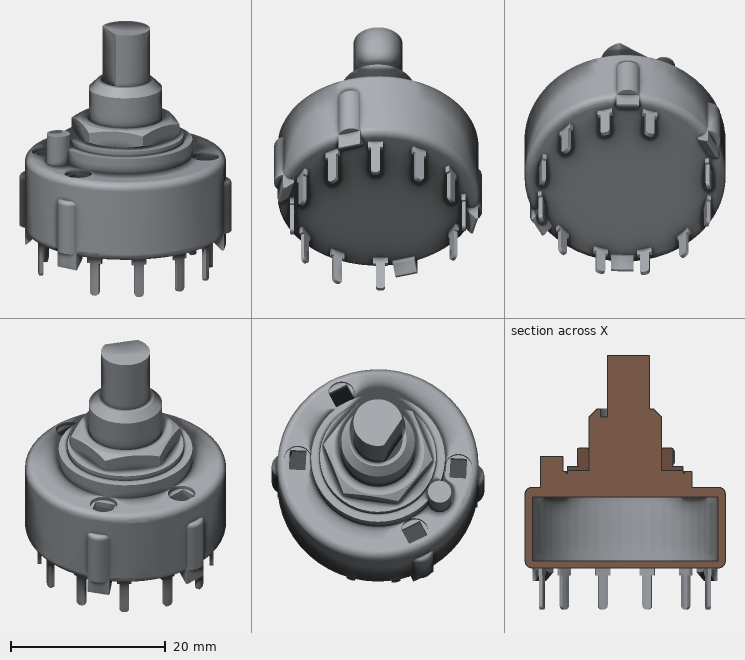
import cadquery as cq
import math


case_radius = 13.0
case_height = 10.5
case_edge_radius = 1.0
case_wall = 1.0
cavity_radius = case_radius - case_wall

seat_radius = 8.65
seat_top = case_height + 2.05
washer_radius = 7.5
groove_outer_radius = 7.65
groove_depth = 0.3
groove_floor = seat_top - groove_depth
pedestal_top = seat_top + 0.12

bushing_radius = 4.75
bushing_top = 20.6
bushing_chamfer = 1.05

shaft_radius = 6.35 / 2
shaft_top = 27.55
shaft_flat_distance = 2.3
shaft_flat_depth_in_bushing = 1.0

post_radius = 1.5
post_offset = 9.5
post_top = 14.5

hook_angles = (60, 120, 240, 300)
rib_radius = 1.7
rib_center_offset = 12.06
rib_bottom = 0.53
rib_top = 7.55
rib_edge_radius = 0.55
block_outer_offset = 12.94
block_width = 2 * math.sqrt(rib_radius**2 - (block_outer_offset - rib_center_offset) ** 2)
block_bottom = -1.7
block_tip_thickness = 0.3
hook_depth = 1.45
hook_corner_height = -0.5
window_offset = 10.4
window_radius = 3.55 / 2
window_depth = 0.5
pocket_length = 2.15
pocket_width = 2.65
pocket_depth = 0.8
cavity_top = case_height - window_depth - pocket_depth

pin_places = 12
empty_place = 9
pin_circle_radius = 11.1
pin_thickness = 0.5
pin_width = 1.2
pin_length = 5.35
pin_tip_radius = 0.5
shoulder_width = 1.9
shoulder_length = 1.0

nut_bottom = 13.18
nut_top = 15.55
nut_corner_radius = 7.13
nut_angle = -5.6
nut_face_radius = 6.0
nut_corner_chamfer = 0.55
nut_hole_chamfer = 0.18


def cylinder(radius, bottom, top):
    return cq.Workplane("XY").workplane(offset=bottom).circle(radius).extrude(top - bottom)


def make_case():
    return cylinder(case_radius, 0, case_height).edges().fillet(case_edge_radius)


def make_seat():
    seat = cylinder(seat_radius, case_height - case_edge_radius, seat_top)
    seat = seat.cut(cylinder(groove_outer_radius, groove_floor, seat_top))
    return seat.union(cylinder(washer_radius, groove_floor, pedestal_top))


def make_bushing():
    profile = [
        (0, groove_floor),
        (bushing_radius, groove_floor),
        (bushing_radius, bushing_top - bushing_chamfer),
        (bushing_radius - bushing_chamfer, bushing_top),
        (0, bushing_top),
    ]
    return cq.Workplane("XZ").polyline(profile).close().revolve(360, (0, 0), (0, 1))


def make_shaft():
    return cylinder(shaft_radius, bushing_top, shaft_top)


def make_shaft_flat():
    """Sliver cut off the -Y side of the shaft, reaching a little way down into the bushing."""
    flat_bottom = bushing_top - shaft_flat_depth_in_bushing
    kept_side = (
        cq.Workplane("XY")
        .workplane(offset=flat_bottom)
        .rect(2 * shaft_radius, 2 * shaft_radius)
        .extrude(shaft_top - flat_bottom)
        .translate((0, shaft_radius - shaft_flat_distance, 0))
    )
    return cylinder(shaft_radius, flat_bottom, shaft_top).cut(kept_side)


def make_post():
    return cylinder(post_radius, case_height - case_edge_radius, post_top).translate((0, -post_offset, 0))


def make_hook(angle):
    """Rib and hooked block, modelled on the +X side and turned to their angle."""
    rib = (
        cylinder(rib_radius, rib_bottom, rib_top)
        .faces(">Z")
        .edges()
        .fillet(rib_edge_radius)
        .translate((rib_center_offset, 0, 0))
    )
    hook_inner = block_outer_offset - hook_depth
    block_profile = [
        (block_outer_offset, rib_bottom),
        (block_outer_offset, block_bottom),
        (block_outer_offset - block_tip_thickness, block_bottom),
        (hook_inner, hook_corner_height),
        (hook_inner, rib_bottom),
    ]
    block = cq.Workplane("XZ").polyline(block_profile).close().extrude(block_width / 2, both=True)
    return rib.union(block).rotate((0, 0, 0), (0, 0, 1), angle)


def make_window(angle):
    """Round recess in the top face of the case with a rectangular opening down to the cavity."""
    recess_bottom = case_height - window_depth
    recess = cylinder(window_radius, recess_bottom, case_height)
    pocket = (
        cq.Workplane("XY")
        .workplane(offset=recess_bottom)
        .rect(pocket_length, pocket_width)
        .extrude(-pocket_depth)
    )
    return recess.union(pocket).translate((window_offset, 0, 0)).rotate((0, 0, 0), (0, 0, 1), angle)


def make_pin(angle):
    """Flat pin with a wide shoulder and rounded tip; its broad face points away from the axis."""
    blade = (
        cq.Workplane("XY")
        .rect(pin_thickness, pin_width)
        .extrude(-pin_length)
        .faces("<Z")
        .edges("|X")
        .fillet(pin_tip_radius)
    )
    shoulder = cq.Workplane("XY").rect(pin_thickness, shoulder_width).extrude(-shoulder_length)
    return blade.union(shoulder).translate((pin_circle_radius, 0, 0)).rotate((0, 0, 0), (0, 0, 1), angle)


def make_switch():
    switch = make_case()
    for angle in hook_angles:
        switch = switch.union(make_hook(angle))
    switch = switch.cut(cylinder(cavity_radius, case_wall, cavity_top))
    for upper_feature in (make_seat(), make_bushing(), make_shaft(), make_post()):
        switch = switch.union(upper_feature)
    switch = switch.cut(make_shaft_flat())
    for angle in hook_angles:
        switch = switch.cut(make_window(angle))
    pin_step = 360 / pin_places
    for place in range(pin_places):
        if place != empty_place:
            switch = switch.union(make_pin((place + 0.5) * pin_step))
    return switch


def make_hardware():
    """Hex nut with chamfered corners, joined to the washer that sits on the pedestal."""
    hexagon = (
        cq.Workplane("XY")
        .workplane(offset=nut_bottom)
        .polygon(6, 2 * nut_corner_radius)
        .extrude(nut_top - nut_bottom)
        .rotate((0, 0, 0), (0, 0, 1), nut_angle)
    )
    corner_profile = [
        (0, nut_bottom),
        (nut_face_radius, nut_bottom),
        (nut_corner_radius, nut_bottom + nut_corner_chamfer),
        (nut_corner_radius, nut_top - nut_corner_chamfer),
        (nut_face_radius, nut_top),
        (0, nut_top),
    ]
    chamfered_corners = cq.Workplane("XZ").polyline(corner_profile).close().revolve(360, (0, 0), (0, 1))
    nut = hexagon.intersect(chamfered_corners)
    washer = cylinder(washer_radius, pedestal_top, nut_bottom)
    hole = cylinder(bushing_radius, pedestal_top, nut_top)
    hole_chamfer = (
        cq.Workplane("XY")
        .workplane(offset=nut_top)
        .circle(bushing_radius + nut_hole_chamfer)
        .workplane(offset=-nut_hole_chamfer)
        .circle(bushing_radius)
        .loft()
    )
    return nut.union(washer).cut(hole).cut(hole_chamfer)


switch = make_switch()
hardware = make_hardware()

result = cq.Compound.makeCompound([switch.val(), hardware.val()])